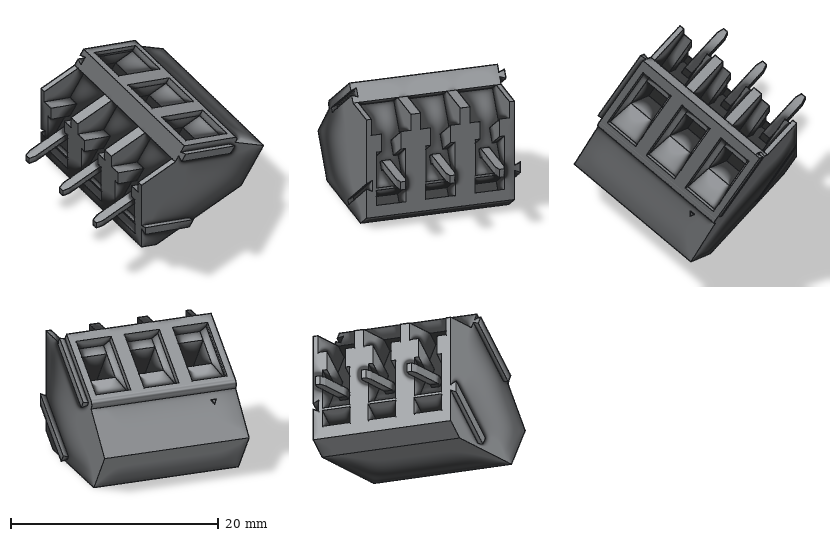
import cadquery as cq
import math


pole_count = 3
pitch = 5.0
tilt = math.radians(35)

housing_width = pole_count * pitch
housing_top = 11.66
base_chamfer_rise = 1.06
back_tip = (15.48, 4.07)
cover_rise = 14.0
cover_front_run = -3.19
rib_foot = (11.9, 7.9)
rib_bulge = (12.08, 8.36)
rib_top_run = 4.53

recess_wall_run = -1.72
shelf_rise = 8.17
cover_underside_rise = 12.0
shelf_width = 4.0
stem_width = 2.0
pin_bay_width = 2.94
pin_bay_floor_rise = 3.56
pin_bay_ceiling_rise = 6.66
window_width = 3.0
window_floor_rise = 2.06
window_ceiling_rise = 3.36
window_back_run = 0.93
front_clearance = 12.0

opening_width = 3.62
opening_front_run = -2.22
opening_back_run = 4.13
opening_rim_depth = 0.68
funnel_depth = 0.76
shaft_width = 2.7
shaft_front_run = -1.2
shaft_back_run = 1.57
shaft_floor_rise = 8.0

dovetail_rises = (12.99, 3.80)
dovetail_neck = 0.46
dovetail_head = 0.92
dovetail_depth = 0.6
dovetail_end_run = 4.42

pin_length = 3.82
pin_width = 0.88
pin_thickness = 0.84
pin_height = 6.0
pin_tip_length = 0.68
pin_tip_width = 0.5
pin_bend_y = 1.62
pin_root_length = 1.5

mark_width = 0.54
mark_height = 0.5
mark_depth = 0.1
mark_offset = 0.8

pole_centres = [pitch * (i + 0.5) for i in range(pole_count)]


def from_tilted(run, rise):
    """Convert tilted-frame coordinates to (y, z)."""
    y = run * math.cos(tilt) + rise * math.sin(tilt)
    z = rise * math.cos(tilt) - run * math.sin(tilt)
    return y, z


def tilted_box(x_centre, width, run_span, rise_span):
    """Box aligned with the tilted frame, centred on x_centre."""
    side = cq.Plane(
        origin=(x_centre, 0, 0),
        xDir=(0, math.cos(tilt), -math.sin(tilt)),
        normal=(1, 0, 0),
    )
    run_size = run_span[1] - run_span[0]
    rise_size = rise_span[1] - rise_span[0]
    return (
        cq.Workplane(side)
        .center(run_span[0] + run_size / 2, rise_span[0] + rise_size / 2)
        .rect(run_size, rise_size)
        .extrude(width / 2, both=True)
    )


def cover_plane(rise):
    """Plane parallel to the cover; local x is X and local y points down the run."""
    return cq.Plane(
        origin=(0,) + from_tilted(0, rise),
        xDir=(1, 0, 0),
        normal=(0, -math.sin(tilt), -math.cos(tilt)),
    )


def make_housing():
    tip_run = back_tip[0] * math.cos(tilt) - back_tip[1] * math.sin(tilt)
    cover_foot_rise = (housing_top + cover_front_run * math.sin(tilt)) / math.cos(tilt)
    return (
        cq.Workplane("YZ")
        .moveTo(0, base_chamfer_rise / math.cos(tilt))
        .lineTo(base_chamfer_rise / math.sin(tilt), 0)
        .lineTo(tip_run / math.cos(tilt), 0)
        .lineTo(*back_tip)
        .lineTo(*rib_foot)
        .threePointArc(rib_bulge, from_tilted(rib_top_run, cover_rise))
        .lineTo(*from_tilted(cover_front_run, cover_rise))
        .lineTo(*from_tilted(cover_front_run, cover_foot_rise))
        .lineTo(0, housing_top)
        .close()
        .extrude(housing_width)
    )


def make_front_recess(x):
    """T-shaped recess around the pin, with the separate window below it."""
    recess_runs = (recess_wall_run - front_clearance, recess_wall_run)
    window_runs = (window_back_run - front_clearance, window_back_run)
    shelf = tilted_box(x, shelf_width, recess_runs, (shelf_rise, cover_underside_rise))
    stem = tilted_box(x, stem_width, recess_runs, (pin_bay_floor_rise, shelf_rise))
    bay = tilted_box(x, pin_bay_width, recess_runs, (pin_bay_floor_rise, pin_bay_ceiling_rise))
    window = tilted_box(x, window_width, window_runs, (window_floor_rise, window_ceiling_rise))
    return shelf.union(stem).union(bay).union(window)


def make_screw_opening(x):
    """Rectangular rim, a funnel narrowing below it, and a straight shaft."""
    rim_rise = cover_rise - opening_rim_depth
    funnel_rise = rim_rise - funnel_depth
    opening_runs = (opening_front_run, opening_back_run)
    shaft_runs = (shaft_front_run, shaft_back_run)
    funnel_end_centre = (opening_front_run + shaft_back_run) / 2
    funnel_end_length = shaft_back_run - opening_front_run
    opening_centre = sum(opening_runs) / 2
    opening_length = opening_back_run - opening_front_run

    rim = tilted_box(x, opening_width, opening_runs, (rim_rise, cover_rise))
    funnel = (
        cq.Workplane(cover_plane(rim_rise))
        .center(x, -opening_centre)
        .rect(opening_width, opening_length)
        .workplane(offset=funnel_depth)
        .center(0, opening_centre - funnel_end_centre)
        .rect(shaft_width, funnel_end_length)
        .loft(ruled=True)
    )
    shaft = tilted_box(x, shaft_width, shaft_runs, (shaft_floor_rise, funnel_rise))
    return rim.union(funnel).union(shaft)


def make_dovetail(x_neck, rise):
    """Dovetail bar, narrow at x_neck and widening towards +X, ending at the front face."""
    start_run = cover_front_run if rise > cover_underside_rise else -front_clearance
    end_plane = cq.Plane(
        origin=(x_neck,) + from_tilted(start_run, rise),
        xDir=(1, 0, 0),
        normal=(0, math.cos(tilt), -math.sin(tilt)),
    )
    bar = (
        cq.Workplane(end_plane)
        .moveTo(0, -dovetail_neck / 2)
        .lineTo(dovetail_depth, -dovetail_head / 2)
        .lineTo(dovetail_depth, dovetail_head / 2)
        .lineTo(0, dovetail_neck / 2)
        .close()
        .extrude(dovetail_end_run - start_run)
    )
    behind_front = (
        cq.Workplane("XY")
        .box(2 * dovetail_depth, back_tip[0], cover_rise, centered=(True, False, False))
        .translate((x_neck, 0, 0))
    )
    return bar.intersect(behind_front)


def make_pin(x):
    """Pin leaving square to the front face, bent along the run where it enters the housing."""
    top = pin_height + pin_thickness / 2
    bottom = pin_height - pin_thickness / 2
    lower_bend_y = pin_bend_y - pin_thickness * math.tan(tilt / 2)
    root_y = pin_root_length * math.cos(tilt)
    root_drop = pin_root_length * math.sin(tilt)
    side = (
        cq.Workplane("YZ")
        .moveTo(-pin_length, bottom)
        .lineTo(-pin_length, top)
        .lineTo(pin_bend_y, top)
        .lineTo(pin_bend_y + root_y, top - root_drop)
        .lineTo(lower_bend_y + root_y, bottom - root_drop)
        .lineTo(lower_bend_y, bottom)
        .close()
        .extrude(pin_width / 2, both=True)
    )
    plan = (
        cq.Workplane("XY")
        .moveTo(-pin_tip_width / 2, -pin_length)
        .lineTo(pin_tip_width / 2, -pin_length)
        .lineTo(pin_width / 2, pin_tip_length - pin_length)
        .lineTo(pin_width / 2, pin_bend_y + root_y)
        .lineTo(-pin_width / 2, pin_bend_y + root_y)
        .lineTo(-pin_width / 2, pin_tip_length - pin_length)
        .close()
        .extrude(housing_top)
    )
    return side.intersect(plan).translate((x, 0, 0))


def make_pole_mark():
    """Shallow triangle on the upper back slope, pointing away from the cover."""
    slope_y = back_tip[0] - rib_foot[0]
    slope_z = back_tip[1] - rib_foot[1]
    slope = cq.Plane(
        origin=(pole_centres[0],) + rib_foot,
        xDir=(1, 0, 0),
        normal=(0, slope_z, -slope_y),
    )
    return (
        cq.Workplane(slope)
        .moveTo(-mark_width / 2, -mark_offset)
        .lineTo(mark_width / 2, -mark_offset)
        .lineTo(0, -mark_offset - mark_height)
        .close()
        .extrude(mark_depth)
    )


result = make_housing()
for centre in pole_centres:
    result = result.cut(make_front_recess(centre)).cut(make_screw_opening(centre))
for dovetail_rise in dovetail_rises:
    result = result.union(make_dovetail(housing_width, dovetail_rise))
    result = result.cut(make_dovetail(0, dovetail_rise))
for centre in pole_centres:
    result = result.union(make_pin(centre))
result = result.cut(make_pole_mark())